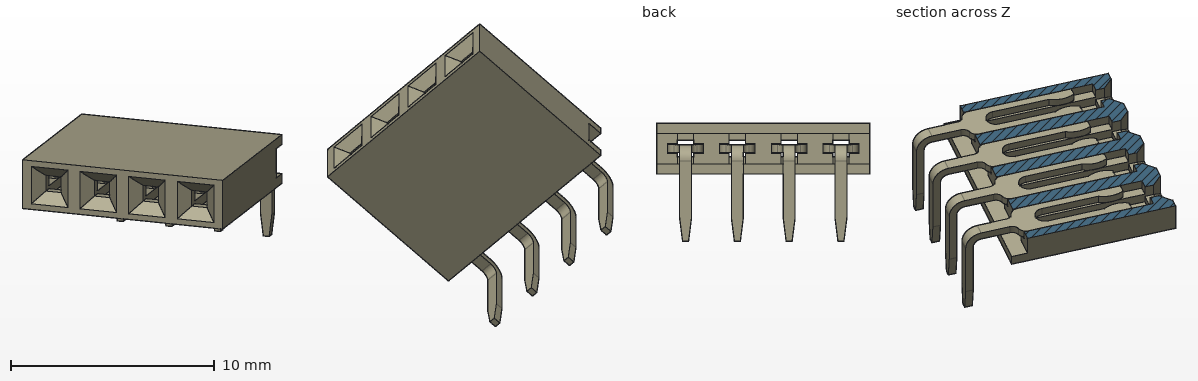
import cadquery as cq
import math

CONTACT_COUNT = 4
PITCH = 2.54
CONTACT_PLACES = [(i - (CONTACT_COUNT - 1) / 2) * PITCH for i in range(CONTACT_COUNT)]
HOUSING_WIDTH = 10.46
HOUSING_LENGTH = 8.49
HOUSING_HEIGHT = 2.5
MID_HEIGHT = HOUSING_HEIGHT / 2

NOTCH_HEIGHT = 1.49
NOTCH_DEPTH = 0.82
NOTCH_FLOOR = HOUSING_LENGTH - NOTCH_DEPTH

FUNNEL_MOUTH = 1.91
HOLE_SIZE = 0.8
FUNNEL_DEPTH = 0.55
CAVITY_START = 1.0
FORK_SLOT_HEIGHT = 0.5

THICKNESS = 0.4
TAIL_WIDTH = 0.6
TAIL_HALF = TAIL_WIDTH / 2
BACK_FACE = 10.5
BEND_INNER_RADIUS = 0.4
BEND_OUTER_RADIUS = BEND_INNER_RADIUS + THICKNESS
TIP_BELOW_HOUSING = 3.3
TIP_WIDTH = 0.3
TAPER_LENGTH = 1.15

SHOULDER_START = 8.2
SHOULDER_HOLLOW_RADIUS = 0.36
SHOULDER_ROUND_RADIUS = 0.42
SHOULDER_ANGLE = math.radians(75)
SHOULDER_RADII = SHOULDER_HOLLOW_RADIUS + SHOULDER_ROUND_RADIUS
SHOULDER_END = SHOULDER_START - SHOULDER_RADII * math.sin(SHOULDER_ANGLE)
FORK_HALF = TAIL_HALF + SHOULDER_RADII * (1 - math.cos(SHOULDER_ANGLE))

FORK_TIP = 2.1
SLOT_ROOT_RADIUS = 0.48
SLOT_ROOT_CENTRE = 6.3
GAP_HALF = 0.32
CONTACT_POINT = 2.73
FLARE_RADIUS = 1.31


def box_between(x_size, z_size, y_start, y_end, x_centre=0.0):
    """Box centred on x_centre and on the middle height, from y_start to y_end."""
    length = y_end - y_start
    centre = (x_centre, (y_start + y_end) / 2, MID_HEIGHT)
    return cq.Workplane("XY").box(x_size, length, z_size).translate(centre)


def make_funnel(x_centre):
    """Square funnel narrowing from the front face to the hole."""
    return (
        cq.Workplane("XZ", origin=(x_centre, 0, MID_HEIGHT))
        .rect(FUNNEL_MOUTH, FUNNEL_MOUTH)
        .workplane(offset=-FUNNEL_DEPTH)
        .rect(HOLE_SIZE, HOLE_SIZE)
        .loft(ruled=True)
    )


def make_housing():
    housing = box_between(HOUSING_WIDTH, HOUSING_HEIGHT, 0, HOUSING_LENGTH)
    housing = housing.cut(box_between(HOUSING_WIDTH, NOTCH_HEIGHT, NOTCH_FLOOR, HOUSING_LENGTH))
    for x in CONTACT_PLACES:
        housing = housing.cut(make_funnel(x))
        housing = housing.cut(box_between(HOLE_SIZE, HOLE_SIZE, FUNNEL_DEPTH, CAVITY_START, x))
        housing = housing.cut(box_between(HOLE_SIZE, NOTCH_HEIGHT, CAVITY_START, NOTCH_FLOOR, x))
        fork_slot = box_between(2 * FORK_HALF, FORK_SLOT_HEIGHT, CAVITY_START, NOTCH_FLOOR, x)
        housing = housing.cut(fork_slot)
    return housing


def on_arc(centre, radius, angle):
    """Point on a circle, with the angle in radians from +X towards +Y."""
    return (centre[0] + radius * math.cos(angle), centre[1] + radius * math.sin(angle))


def mirrored(point):
    return (-point[0], point[1])


def make_flat_strip(tail_end):
    """Flat part of the strip: fork, shoulders and straight tail up to tail_end."""
    hollow_centre = (TAIL_HALF + SHOULDER_HOLLOW_RADIUS, SHOULDER_START)
    hollow_middle = on_arc(hollow_centre, SHOULDER_HOLLOW_RADIUS, math.pi + SHOULDER_ANGLE / 2)
    shoulder_joint = on_arc(hollow_centre, SHOULDER_HOLLOW_RADIUS, math.pi + SHOULDER_ANGLE)
    round_centre = (FORK_HALF - SHOULDER_ROUND_RADIUS, SHOULDER_END)
    round_middle = on_arc(round_centre, SHOULDER_ROUND_RADIUS, SHOULDER_ANGLE / 2)

    flare_centre_x = GAP_HALF + FLARE_RADIUS
    flare_rise = math.sqrt(FLARE_RADIUS**2 - (FLARE_RADIUS - (SLOT_ROOT_RADIUS - GAP_HALF)) ** 2)
    slot_side = (SLOT_ROOT_RADIUS, CONTACT_POINT + flare_rise)
    contact_point = (GAP_HALF, CONTACT_POINT)
    tip_drop = CONTACT_POINT - FORK_TIP
    tip_inside = (flare_centre_x - math.sqrt(FLARE_RADIUS**2 - tip_drop**2), FORK_TIP)
    slot_root_side = (SLOT_ROOT_RADIUS, SLOT_ROOT_CENTRE)
    slot_root = (0, SLOT_ROOT_CENTRE + SLOT_ROOT_RADIUS)

    return (
        cq.Workplane("XY", origin=(0, 0, MID_HEIGHT - THICKNESS / 2))
        .moveTo(TAIL_HALF, tail_end)
        .lineTo(TAIL_HALF, SHOULDER_START)
        .threePointArc(hollow_middle, shoulder_joint)
        .threePointArc(round_middle, (FORK_HALF, SHOULDER_END))
        .lineTo(FORK_HALF, FORK_TIP)
        .lineTo(*tip_inside)
        .threePointArc(contact_point, slot_side)
        .lineTo(*slot_root_side)
        .threePointArc(slot_root, mirrored(slot_root_side))
        .lineTo(*mirrored(slot_side))
        .threePointArc(mirrored(contact_point), mirrored(tip_inside))
        .lineTo(-FORK_HALF, FORK_TIP)
        .lineTo(-FORK_HALF, SHOULDER_END)
        .threePointArc(mirrored(round_middle), mirrored(shoulder_joint))
        .threePointArc(mirrored(hollow_middle), (-TAIL_HALF, SHOULDER_START))
        .lineTo(-TAIL_HALF, tail_end)
        .close()
        .extrude(THICKNESS)
    )


def make_contact():
    """One contact centred on X = 0."""
    strip_top = MID_HEIGHT + THICKNESS / 2
    bend_start = BACK_FACE - BEND_OUTER_RADIUS
    bend_bottom = strip_top - BEND_OUTER_RADIUS

    diagonal = math.pi / 4
    bend_centre = (bend_start, bend_bottom)
    bend = (
        cq.Workplane("YZ")
        .moveTo(bend_start, strip_top)
        .threePointArc(on_arc(bend_centre, BEND_OUTER_RADIUS, diagonal), (BACK_FACE, bend_bottom))
        .lineTo(BACK_FACE - THICKNESS, bend_bottom)
        .threePointArc(
            on_arc(bend_centre, BEND_INNER_RADIUS, diagonal), (bend_start, strip_top - THICKNESS)
        )
        .close()
        .extrude(TAIL_HALF, both=True)
    )

    taper_top = TAPER_LENGTH - TIP_BELOW_HOUSING
    leg = (
        cq.Workplane("XZ", origin=(0, BACK_FACE, 0))
        .polyline([
            (TAIL_HALF, bend_bottom),
            (TAIL_HALF, taper_top),
            (TIP_WIDTH / 2, -TIP_BELOW_HOUSING),
            (-TIP_WIDTH / 2, -TIP_BELOW_HOUSING),
            (-TAIL_HALF, taper_top),
            (-TAIL_HALF, bend_bottom),
        ])
        .close()
        .extrude(THICKNESS)
    )
    return make_flat_strip(bend_start).union(bend).union(leg)


housing = make_housing()
contact = make_contact()
contacts = [contact.translate((x, 0, 0)) for x in CONTACT_PLACES]

result = cq.Compound.makeCompound([housing.val(), *[c.val() for c in contacts]])